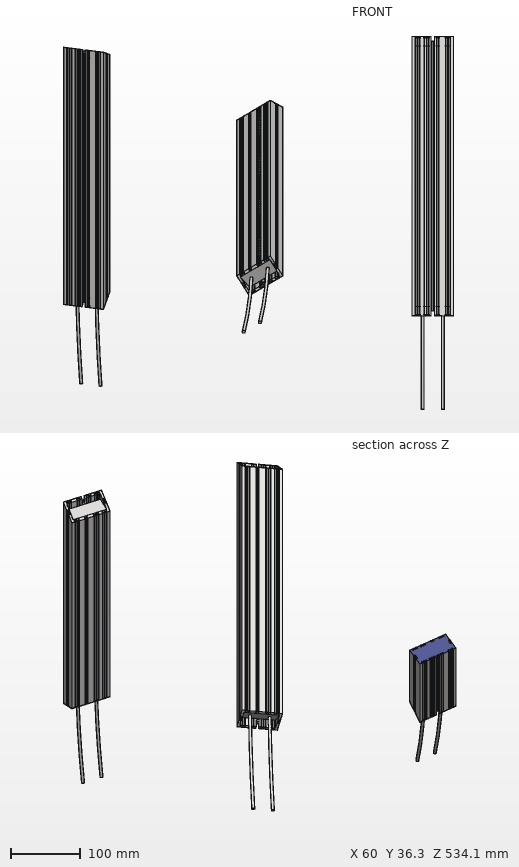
import cadquery as cq

width = 60.0
depth = 30.0
length = 400.0
end_drop = 15.5
wall = 3.7

groove_width = 1.0
groove_depth = 2.5
face_groove_pitch = 3.2
outer_group_centre = 21.7
inner_group_centre = 7.2
marker_groove_x = -12.1
side_groove_pitch = 2.7

slot_width = 4.4
strip_end_gap = 6.7
strip_recess = 2.0
strip_rib_width = 2.0
strip_rib_height = 1.0

wire_diameter = 4.5
wire_spacing = 29.0
wire_bend_radius = 1000.0
wire_start_height = 65.7
wire_start_y = -1.01
wire_bend_angle = 11.5

front_y = -depth / 2
back_y = depth / 2
cavity_front_y = front_y + wall
cavity_back_y = back_y - wall
fill_inset = end_drop * (cavity_back_y - front_y) / depth


def box(x0, x1, y0, y1, z0=0.0, z1=length):
    return cq.Workplane("XY").box(x1 - x0, y1 - y0, z1 - z0, centered=False).translate((x0, y0, z0))


def make_housing():
    side_outline = [
        (front_y, 0),
        (back_y, end_drop),
        (back_y, length - end_drop),
        (front_y, length),
    ]
    housing = cq.Workplane("YZ").polyline(side_outline).close().extrude(width / 2, both=True)
    cavity_x = width / 2 - wall
    for z0, z1 in ((0, fill_inset), (length - fill_inset, length)):
        housing = housing.cut(box(-cavity_x, cavity_x, cavity_front_y, cavity_back_y, z0, z1))
    return housing


def face_groove_positions():
    pitch = face_groove_pitch
    one_side = [outer_group_centre + step * pitch for step in (-1, 0, 1)]
    one_side += [inner_group_centre + step * pitch for step in (-0.5, 0.5)]
    return one_side + [-x for x in one_side] + [marker_groove_x]


def cut_face_grooves(body):
    for x in face_groove_positions():
        x0 = x - groove_width / 2
        x1 = x + groove_width / 2
        body = body.cut(box(x0, x1, front_y, front_y + groove_depth))
        body = body.cut(box(x0, x1, back_y - groove_depth, back_y))
    return body


def cut_side_grooves(body):
    side_x = width / 2
    for y in (-side_groove_pitch, 0, side_groove_pitch):
        y0 = y - groove_width / 2
        y1 = y + groove_width / 2
        body = body.cut(box(-side_x, groove_depth - side_x, y0, y1))
        body = body.cut(box(side_x - groove_depth, side_x, y0, y1))
    return body


def cut_front_slot(body):
    half_slot = slot_width / 2
    half_rib = strip_rib_width / 2
    strip_y = front_y + strip_recess
    strip_top = length - strip_end_gap
    body = body.cut(box(-half_slot, half_slot, front_y, cavity_front_y, 0, strip_end_gap))
    body = body.cut(box(-half_slot, half_slot, front_y, cavity_front_y, strip_top, length))
    body = body.cut(box(-half_slot, half_slot, front_y, strip_y))
    return body.union(box(-half_rib, half_rib, strip_y - strip_rib_height, strip_y, strip_end_gap, strip_top))


def make_wire(x):
    return (
        cq.Workplane("XY", origin=(x, wire_start_y, wire_start_height))
        .circle(wire_diameter / 2)
        .revolve(wire_bend_angle, (-1, wire_bend_radius, 0), (1, wire_bend_radius, 0))
    )


result = cut_front_slot(cut_side_grooves(cut_face_grooves(make_housing())))
for wire_x in (-wire_spacing / 2, wire_spacing / 2):
    result = result.union(make_wire(wire_x))